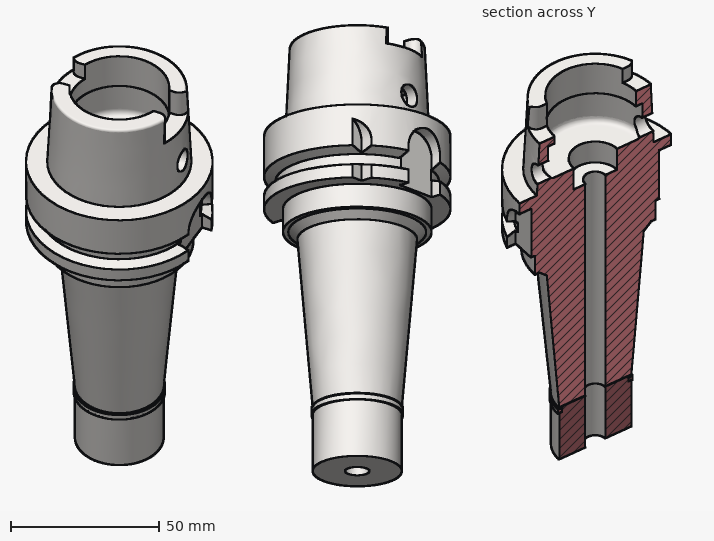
import cadquery as cq
import math

TOTAL_HEIGHT = 152.0
FLANGE_TOP = 120.1
FLANGE_BOTTOM = 94.0

SHANK_BASE_RADIUS = 24.3
SHANK_TOP_RADIUS = 22.8
SHANK_RIM_FILLET = 1.0
MOUTH_RADIUS = 16.9
MOUTH_DEPTH = 12.9
CHAMBER_RADIUS = 19.5
CHAMBER_DEPTH = 27.5
CHAMBER_FILLET = 2.5

NOTCH_WIDTH = 12.2
NOTCH_DEPTH_MINUS_X = 6.1
NOTCH_DEPTH_PLUS_X = 9.7
NOTCH_CORNER_RADIUS = 3.3

CROSS_HOLE_RADIUS = 4.0
CROSS_HOLE_HEIGHT = FLANGE_TOP + 8.8

FLANGE_RADIUS = 31.5
GROOVE_RADIUS = 27.7
GROOVE_UPPER_EDGE = 105.5
GROOVE_UPPER_FLOOR = 103.7
GROOVE_LOWER_FLOOR = 100.0
GROOVE_LOWER_EDGE = 98.6

KEY_SLOT_TOP = 115.2
KEY_SLOT_WIDTH_MINUS_X = 16.0
KEY_SLOT_WIDTH_PLUS_X = 18.0
KEY_SLOT_FLOOR = 26.6
SIDE_SLOT_WIDTH = 16.1
SIDE_SLOT_TOP = 115.8
SIDE_SLOT_FLOOR = 19.9
SIDE_SLOT_INNER_Y = 19.9

COLLAR_RADIUS = 25.1
COLLAR_BOTTOM = 85.7
SHOULDER_RADIUS = 23.3
NECK_TOP = 83.0
NECK_TOP_RADIUS = 20.2
NECK_BOTTOM = 22.6
NECK_BOTTOM_RADIUS = 15.0

COUNTERBORE_RADIUS = 9.0
COUNTERBORE_DEPTH = 9.1
THROUGH_RADIUS = 4.1

RING_RADIUS = 15.5
RING_BOTTOM = 20.2
RING_TOP = 22.2
SPIGOT_RADIUS = 13.7
NOSE_RADIUS = NECK_BOTTOM_RADIUS

CHAMBER_FLOOR = TOTAL_HEIGHT - CHAMBER_DEPTH


def cylinder(radius, bottom, top):
    """Cylinder on the Z axis between two heights."""
    return cq.Workplane("XY").workplane(offset=bottom).circle(radius).extrude(top - bottom)


def revolved_blank():
    """Outer shape of the holder, from the neck end to the shank rim."""
    profile = [
        (0, NECK_BOTTOM),
        (NECK_BOTTOM_RADIUS, NECK_BOTTOM),
        (NECK_TOP_RADIUS, NECK_TOP),
        (SHOULDER_RADIUS, COLLAR_BOTTOM),
        (COLLAR_RADIUS, COLLAR_BOTTOM),
        (COLLAR_RADIUS, FLANGE_BOTTOM),
        (FLANGE_RADIUS, FLANGE_BOTTOM),
        (FLANGE_RADIUS, GROOVE_LOWER_EDGE),
        (GROOVE_RADIUS, GROOVE_LOWER_FLOOR),
        (GROOVE_RADIUS, GROOVE_UPPER_FLOOR),
        (FLANGE_RADIUS, GROOVE_UPPER_EDGE),
        (FLANGE_RADIUS, FLANGE_TOP),
        (SHANK_BASE_RADIUS, FLANGE_TOP),
        (SHANK_TOP_RADIUS, TOTAL_HEIGHT),
        (0, TOTAL_HEIGHT),
    ]
    blank = cq.Workplane("XZ").polyline(profile).close().revolve(360, (0, 0), (0, 1))
    return blank.faces(">Z").edges().fillet(SHANK_RIM_FILLET)


def bores():
    """Mouth, clamping chamber, counterbore and centre hole of the holder."""
    mouth_bottom = TOTAL_HEIGHT - MOUTH_DEPTH
    mouth = cylinder(MOUTH_RADIUS, mouth_bottom, TOTAL_HEIGHT)
    chamber = cylinder(CHAMBER_RADIUS, CHAMBER_FLOOR, mouth_bottom)
    chamber = chamber.faces("<Z").edges().fillet(CHAMBER_FILLET)
    counterbore = cylinder(COUNTERBORE_RADIUS, CHAMBER_FLOOR - COUNTERBORE_DEPTH, CHAMBER_FLOOR)
    centre_hole = cylinder(THROUGH_RADIUS, NECK_BOTTOM, CHAMBER_FLOOR)
    return mouth.union(chamber).union(counterbore).union(centre_hole)


def drive_notch(side, depth):
    """Cutter for a rim notch on the given X side; its mouth flares out to the shank surface."""
    half = NOTCH_WIDTH / 2
    r = NOTCH_CORNER_RADIUS
    tangent_radius = (SHANK_BASE_RADIUS + SHANK_TOP_RADIUS) / 2
    centre_y = half + r
    centre_x = math.sqrt((tangent_radius - r) ** 2 - centre_y ** 2)
    tangent_scale = tangent_radius / (tangent_radius - r)
    tangent_x = centre_x * tangent_scale
    tangent_y = centre_y * tangent_scale
    mid_angle = (math.atan2(centre_y, centre_x) - math.pi / 2) / 2
    mid_x = centre_x + r * math.cos(mid_angle)
    mid_y = centre_y + r * math.sin(mid_angle)
    return (
        cq.Workplane("XY").workplane(offset=TOTAL_HEIGHT - depth)
        .moveTo(0, -half)
        .lineTo(side * centre_x, -half)
        .threePointArc((side * mid_x, -mid_y), (side * tangent_x, -tangent_y))
        .lineTo(side * FLANGE_RADIUS, -tangent_y)
        .lineTo(side * FLANGE_RADIUS, tangent_y)
        .lineTo(side * tangent_x, tangent_y)
        .threePointArc((side * mid_x, mid_y), (side * centre_x, half))
        .lineTo(0, half)
        .close()
        .extrude(depth)
    )


def flange_slot(side, floor, width, top, centre_y):
    """Cutter for a round-topped slot that is open at the flange underside and along X."""
    half = width / 2
    return (
        cq.Workplane("YZ").workplane(offset=side * floor)
        .moveTo(centre_y - half, FLANGE_BOTTOM)
        .lineTo(centre_y + half, FLANGE_BOTTOM)
        .lineTo(centre_y + half, top - half)
        .threePointArc((centre_y, top), (centre_y - half, top - half))
        .close()
        .extrude(side * FLANGE_RADIUS)
    )


def make_holder():
    holder = revolved_blank().cut(bores())
    x_sides = (
        (-1, NOTCH_DEPTH_MINUS_X, KEY_SLOT_WIDTH_MINUS_X),
        (1, NOTCH_DEPTH_PLUS_X, KEY_SLOT_WIDTH_PLUS_X),
    )
    for side, notch_depth, slot_width in x_sides:
        holder = holder.cut(drive_notch(side, notch_depth))
        holder = holder.cut(flange_slot(side, KEY_SLOT_FLOOR, slot_width, KEY_SLOT_TOP, 0))
    side_slot_y = SIDE_SLOT_INNER_Y + SIDE_SLOT_WIDTH / 2
    holder = holder.cut(flange_slot(-1, SIDE_SLOT_FLOOR, SIDE_SLOT_WIDTH, SIDE_SLOT_TOP, side_slot_y))
    cross_hole = (
        cq.Workplane("YZ").center(0, CROSS_HOLE_HEIGHT)
        .circle(CROSS_HOLE_RADIUS).extrude(FLANGE_RADIUS, both=True)
    )
    return holder.cut(cross_hole)


def make_ring():
    """Narrow ring that sits around the spigot of the nose."""
    return cylinder(RING_RADIUS, RING_BOTTOM, RING_TOP).cut(cylinder(SPIGOT_RADIUS, RING_BOTTOM, RING_TOP))


def make_nose():
    """Cylindrical nose with a spigot that reaches the neck end of the holder."""
    nose = cylinder(NOSE_RADIUS, 0, RING_BOTTOM)
    nose = nose.union(cylinder(SPIGOT_RADIUS, RING_BOTTOM, NECK_BOTTOM))
    return nose.cut(cylinder(THROUGH_RADIUS, 0, NECK_BOTTOM))


holder = make_holder()
ring = make_ring()
nose = make_nose()

result = cq.Compound.makeCompound([holder.val(), ring.val(), nose.val()])